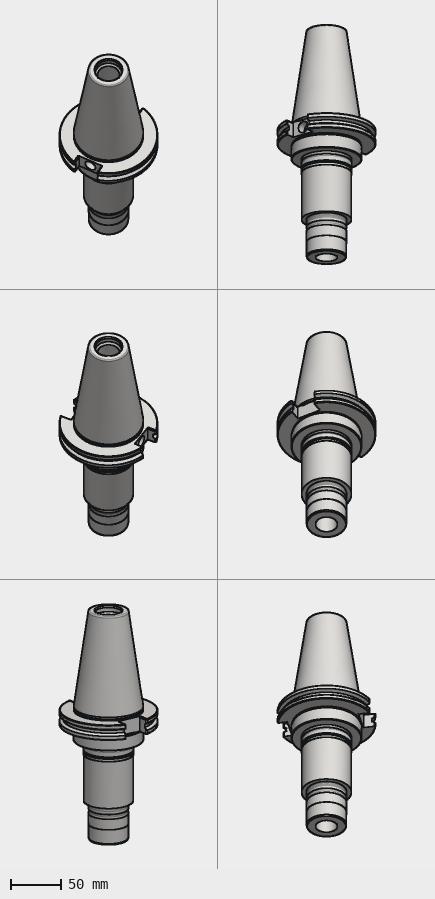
import cadquery as cq
import math

TOP = 241.0
GAGE_LINE = 139.8
RELIEF_BOTTOM = 137.5
FLANGE_TOP = 136.2
FLANGE_BOTTOM = 120.3
COLLAR_TOP = 118.8
COLLAR_BOTTOM = 104.4
HEAD_BOTTOM = 89.7
BODY_BOTTOM = 40.2
NOSE_STEP = 16.1

GAGE_RADIUS = 70.0 / 2
TAPER_RATE = 7 / 24
TIP_RADIUS = GAGE_RADIUS - (TOP - GAGE_LINE) * TAPER_RATE / 2
TIP_ROUND = 1.5
RELIEF_DEPTH = 0.5

FLANGE_RADIUS = 98.3 / 2
FLANGE_CHAMFER = 0.7
FLANGE_MID = (FLANGE_TOP + FLANGE_BOTTOM) / 2
GRIP_DEPTH = 3.5
GRIP_FLOOR_WIDTH = 3.1
GRIP_FLANK_ANGLE = 30.0
GRIP_MOUTH_WIDTH = GRIP_FLOOR_WIDTH + 2 * GRIP_DEPTH * math.tan(math.radians(GRIP_FLANK_ANGLE))

COLLAR_RADIUS = 70.4 / 2
COLLAR_CHAMFER = 0.7
BODY_RADIUS = 50.0 / 2
HEAD_RADIUS = 50.5 / 2
NOSE_RADIUS = 40.5 / 2
NOSE_TIP_RADIUS = 40.0 / 2
NOSE_CHAMFER_WIDTH = 0.7
NOSE_CHAMFER_HEIGHT = 1.5

RING_DEPTH = 0.2
RING_FLANK = 0.7
NOSE_RING_FLANK = 1.2
HEAD_V_MID, HEAD_V_WIDTH = 101.2, 3.0
HEAD_RING_MID, HEAD_RING_WIDTH = 93.5, 2.2
NOSE_RING_MID, NOSE_RING_WIDTH = 37.5, 3.4
NOSE_RELIEF_MID, NOSE_RELIEF_WIDTH = 30.0, 5.0
NOSE_RELIEF_FLOOR = NOSE_RADIUS - RING_DEPTH
NOSE_V_WIDTH = NOSE_RELIEF_WIDTH - 2 * RING_FLANK

SLOT_WIDTH = 25.3
SLOT_CHAMFER = 1.2
FRONT_SLOT_FLOOR = 37.5
BACK_SLOT_FLOOR = 35.2
CUT_CLEARANCE = 2.5

DIMPLE_RADIUS = 11.8 / 2
DIMPLE_DEPTH = 9.6
DRILL_POINT_ANGLE = 118.0

BORE_RADIUS = 22.0 / 2
COUNTERBORE_RADIUS = 26.5 / 2
MOUTH_RADIUS = 28.2 / 2
MOUTH_DEPTH = 1.7
COUNTERBORE_DEPTH = 6.0
SEAT_DEPTH = 8.2


def revolve_profile(points):
    """Revolve a closed (radius, height) outline about the Z axis."""
    return cq.Workplane("XZ").polyline(points).close().revolve(360, (0, 0, 0), (0, 1, 0))


def shank():
    """Steep taper with a rounded tip and a small V relief above the flange."""
    taper = revolve_profile([
        (0, FLANGE_TOP),
        (GAGE_RADIUS, FLANGE_TOP),
        (GAGE_RADIUS - RELIEF_DEPTH, RELIEF_BOTTOM),
        (GAGE_RADIUS, GAGE_LINE),
        (TIP_RADIUS, TOP),
        (0, TOP),
    ])
    return taper.faces(">Z").edges().fillet(TIP_ROUND)


def flange():
    """Flange disc with chamfered rims and a trapezoidal gripper groove."""
    rim_face = FLANGE_RADIUS - FLANGE_CHAMFER
    grip_root = FLANGE_RADIUS - GRIP_DEPTH
    return revolve_profile([
        (0, FLANGE_BOTTOM),
        (rim_face, FLANGE_BOTTOM),
        (FLANGE_RADIUS, FLANGE_BOTTOM + FLANGE_CHAMFER),
        (FLANGE_RADIUS, FLANGE_MID - GRIP_MOUTH_WIDTH / 2),
        (grip_root, FLANGE_MID - GRIP_FLOOR_WIDTH / 2),
        (grip_root, FLANGE_MID + GRIP_FLOOR_WIDTH / 2),
        (FLANGE_RADIUS, FLANGE_MID + GRIP_MOUTH_WIDTH / 2),
        (FLANGE_RADIUS, FLANGE_TOP - FLANGE_CHAMFER),
        (rim_face, FLANGE_TOP),
        (0, FLANGE_TOP),
    ])


def lower_body():
    """Collar, cylindrical body and stepped nose below the flange."""
    neck_radius = COLLAR_RADIUS - COLLAR_CHAMFER
    return revolve_profile([
        (0, 0),
        (NOSE_TIP_RADIUS - NOSE_CHAMFER_WIDTH, 0),
        (NOSE_TIP_RADIUS, NOSE_CHAMFER_HEIGHT),
        (NOSE_TIP_RADIUS, NOSE_STEP),
        (NOSE_RADIUS, NOSE_STEP),
        (NOSE_RADIUS, BODY_BOTTOM),
        (BODY_RADIUS, BODY_BOTTOM),
        (BODY_RADIUS, HEAD_BOTTOM),
        (HEAD_RADIUS, HEAD_BOTTOM),
        (HEAD_RADIUS, COLLAR_BOTTOM),
        (neck_radius, COLLAR_BOTTOM),
        (COLLAR_RADIUS, COLLAR_BOTTOM + COLLAR_CHAMFER),
        (COLLAR_RADIUS, COLLAR_TOP - COLLAR_CHAMFER),
        (neck_radius, COLLAR_TOP),
        (neck_radius, FLANGE_BOTTOM),
        (0, FLANGE_BOTTOM),
    ])


def ring_groove(radius, middle, width, flank):
    """Shallow ring cutter; a flank of half the width makes it a V."""
    floor = radius - RING_DEPTH
    clear = radius + RING_DEPTH
    low, high = middle - width / 2, middle + width / 2
    points = [(clear, low), (radius, low), (floor, low + flank)]
    if flank < width / 2:
        points.append((floor, high - flank))
    points += [(radius, high), (clear, high)]
    return revolve_profile(points)


def drive_slot(floor, side):
    """Slot cutter on the +Y (side=1) or -Y (side=-1) flank, with chamfered rim and top edges."""
    half = SLOT_WIDTH / 2
    wide = half + SLOT_CHAMFER
    outside = FLANGE_RADIUS + CUT_CLEARANCE
    rim = math.sqrt(FLANGE_RADIUS**2 - wide**2)
    height = FLANGE_TOP - FLANGE_BOTTOM
    plan = [
        (half, floor), (half, rim - SLOT_CHAMFER), (wide, rim), (wide, outside),
        (-wide, outside), (-wide, rim), (-half, rim - SLOT_CHAMFER), (-half, floor),
    ]
    slot = (
        cq.Workplane("XY", origin=(0, 0, FLANGE_BOTTOM))
        .polyline([(x, side * y) for x, y in plan]).close().extrude(height)
    )
    top_bevel = (
        cq.Workplane("XZ", origin=(0, side * floor, 0))
        .polyline([
            (-half, FLANGE_TOP - SLOT_CHAMFER), (half, FLANGE_TOP - SLOT_CHAMFER),
            (wide, FLANGE_TOP), (-wide, FLANGE_TOP),
        ]).close().extrude(-side * (outside - floor))
    )
    return slot.union(top_bevel)


def dimple():
    """Drilled blind hole with a conical end, entering from the -Y slot floor."""
    point_length = DIMPLE_RADIUS / math.tan(math.radians(DRILL_POINT_ANGLE / 2))
    return (
        cq.Workplane("XY")
        .polyline([
            (0, -FRONT_SLOT_FLOOR),
            (DIMPLE_RADIUS, -FRONT_SLOT_FLOOR),
            (DIMPLE_RADIUS, DIMPLE_DEPTH - FRONT_SLOT_FLOOR),
            (0, DIMPLE_DEPTH + point_length - FRONT_SLOT_FLOOR),
        ]).close()
        .revolve(360, (0, 0, 0), (0, 1, 0))
        .translate((0, 0, FLANGE_MID))
    )


def bore():
    """Through bore with a chamfered counterbore and conical seat at the top."""
    return revolve_profile([
        (0, 0),
        (BORE_RADIUS, 0),
        (BORE_RADIUS, TOP - SEAT_DEPTH),
        (COUNTERBORE_RADIUS, TOP - COUNTERBORE_DEPTH),
        (COUNTERBORE_RADIUS, TOP - MOUTH_DEPTH),
        (MOUTH_RADIUS, TOP),
        (0, TOP),
    ])


result = shank().union(flange()).union(lower_body())

result = result.cut(ring_groove(HEAD_RADIUS, HEAD_V_MID, HEAD_V_WIDTH, HEAD_V_WIDTH / 2))
result = result.cut(ring_groove(HEAD_RADIUS, HEAD_RING_MID, HEAD_RING_WIDTH, RING_FLANK))

result = result.cut(ring_groove(NOSE_RADIUS, NOSE_RING_MID, NOSE_RING_WIDTH, NOSE_RING_FLANK))
result = result.cut(ring_groove(NOSE_RADIUS, NOSE_RELIEF_MID, NOSE_RELIEF_WIDTH, RING_FLANK))
result = result.cut(ring_groove(NOSE_RELIEF_FLOOR, NOSE_RELIEF_MID, NOSE_V_WIDTH, NOSE_V_WIDTH / 2))

result = result.cut(drive_slot(FRONT_SLOT_FLOOR, -1))
result = result.cut(drive_slot(BACK_SLOT_FLOOR, 1))
result = result.cut(dimple())
result = result.cut(bore())